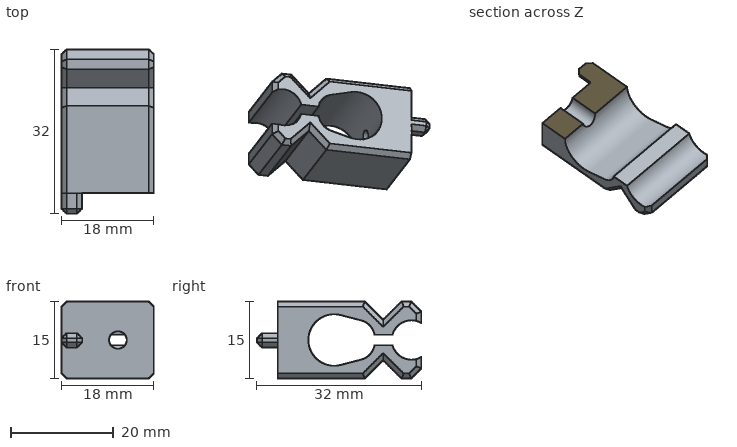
import cadquery as cq
import math

body_width = 18.0
body_height = 15.0
body_length = 28.0
edge_chamfer = 1.0

shoulder_y = 17.0
notch_y = 20.55
nose_flat_length = 1.9
nose_chamfer = 2.0

cavity_y = 11.0
cavity_radius = 5.0
throat_y = 15.4
throat_radius = 7.0 / 2
throat_offset = 0.4
slot_height = 2.0
mouth_y = 26.05
mouth_radius = 3.8

pin_width = 4.0
pin_height = 2.8
pin_length = 4.0
pin_z = -0.05
hole_diameter = 3.4
hole_x = 2.0

half_width = body_width / 2
half_height = body_height / 2


def across_width(sketch):
    """Extrude a Y-Z sketch over the whole body width."""
    return sketch.extrude(half_width, both=True)


def make_body():
    """Notched block with its long outer edges chamfered."""
    notch_half = half_height - (notch_y - shoulder_y)
    nose_end_y = body_length - nose_chamfer
    upper = [
        (0, half_height),
        (shoulder_y, half_height),
        (notch_y, notch_half),
        (nose_end_y - nose_flat_length, half_height),
        (nose_end_y, half_height),
        (body_length, half_height - nose_chamfer),
    ]
    lower = [(y, -z) for y, z in reversed(upper)]
    block = across_width(cq.Workplane("YZ").polyline(upper + lower).close())
    front_edges = cq.selectors.BoxSelector(
        (-body_width, -0.32, -body_height), (body_width, 0.32, body_height)
    )
    long_edges = block.faces("<X or >X").edges(cq.selectors.InverseSelector(front_edges))
    return long_edges.chamfer(edge_chamfer)


def make_cavity():
    """Large bore narrowing along tangent lines to two throat arcs."""
    run = throat_y - cavity_y
    distance = math.hypot(run, throat_offset)
    tangent_angle = math.atan2(throat_offset, run) + math.acos((cavity_radius - throat_radius) / distance)
    cos_t = math.cos(tangent_angle)
    sin_t = math.sin(tangent_angle)
    bore_y = cavity_y + cavity_radius * cos_t
    bore_z = cavity_radius * sin_t
    arc_y = throat_y + throat_radius * cos_t
    arc_z = throat_offset + throat_radius * sin_t

    slot_half = slot_height / 2
    end_angle = math.asin((slot_half - throat_offset) / throat_radius)
    end_y = throat_y + throat_radius * math.cos(end_angle)
    mid_angle = (tangent_angle + end_angle) / 2
    mid_y = throat_y + throat_radius * math.cos(mid_angle)
    mid_z = throat_offset + throat_radius * math.sin(mid_angle)

    outline = (
        cq.Workplane("YZ")
        .moveTo(bore_y, bore_z)
        .lineTo(arc_y, arc_z)
        .threePointArc((mid_y, mid_z), (end_y, slot_half))
        .lineTo(end_y, -slot_half)
        .threePointArc((mid_y, -mid_z), (arc_y, -arc_z))
        .lineTo(bore_y, -bore_z)
        .threePointArc((cavity_y - cavity_radius, 0), (bore_y, bore_z))
        .close()
    )
    return across_width(outline)


def make_slot():
    """Gap joining the cavity to the mouth."""
    slot_length = mouth_y - throat_y
    return cq.Workplane("XY").box(body_width, slot_length, slot_height).translate(
        (0, throat_y + slot_length / 2, 0)
    )


def make_mouth():
    """Round snap-in seat open at the far end."""
    return across_width(cq.Workplane("YZ").center(mouth_y, 0).circle(mouth_radius))


def make_hole():
    """Round hole from the front face into the cavity."""
    return cq.Workplane("XZ").center(hole_x, 0).circle(hole_diameter / 2).extrude(-cavity_y)


def make_pin():
    """Rectangular locating pin flush with the -X side, chamfered except at its root."""
    pin = cq.Workplane("XZ").center(-half_width + pin_width / 2, pin_z).rect(pin_width, pin_height)
    return pin.extrude(pin_length).edges("|Y or <Y").chamfer(edge_chamfer)


body = make_body()
for opening in (make_cavity(), make_slot(), make_mouth(), make_hole()):
    body = body.cut(opening)

result = body.union(make_pin())